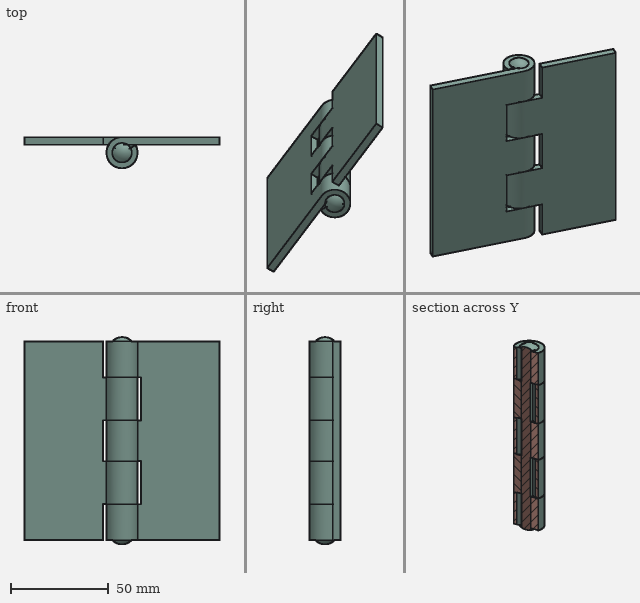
import cadquery as cq
import math

hinge_width = 100.0
leaf_height = 101.6
sheet = 4.0
barrel_radius = 8.0
bore_radius = barrel_radius - sheet
left_reach = hinge_width / 2
right_reach = hinge_width - left_reach

contact_angle = math.degrees(math.asin(bore_radius / barrel_radius))
seam_clearance = 0.5
roll_end_angle = math.radians(contact_angle - seam_clearance)

left_knuckle = 22.0
middle_knuckle = 20.8
end_knuckle = (leaf_height - middle_knuckle - 2 * left_knuckle) / 2
knuckle_heights = [end_knuckle, left_knuckle, middle_knuckle, left_knuckle, end_knuckle]

notch_edge = 9.7

head_radius = 5.0
head_height = 2.3
dome_radius = (head_radius**2 + head_height**2) / (2 * head_height)


def knuckle_spans(first):
    """Bottom and height of every second knuckle, counted from the given one."""
    return [
        (sum(knuckle_heights[:index]) - leaf_height / 2, knuckle_heights[index])
        for index in range(first, len(knuckle_heights), 2)
    ]


def polar(radius, angle):
    return (radius * math.cos(angle), radius * math.sin(angle))


def rolled_strip(bottom, height):
    """Strip from the notch edge to the pin axis, rolled counter-clockwise around the pin."""
    middle_angle = (math.pi / 2 + roll_end_angle + 2 * math.pi) / 2
    return (
        cq.Workplane("XY", origin=(0, 0, bottom))
        .moveTo(notch_edge, barrel_radius)
        .lineTo(0, barrel_radius)
        .threePointArc(polar(barrel_radius, middle_angle), polar(barrel_radius, roll_end_angle))
        .lineTo(*polar(bore_radius, roll_end_angle))
        .threePointArc(polar(bore_radius, middle_angle), (0, bore_radius))
        .lineTo(notch_edge, bore_radius)
        .close()
        .extrude(height)
    )


def make_leaf(reach, first_knuckle):
    """Leaf with its plate on the +X side of the pin."""
    leaf = cq.Workplane("XY").box(
        reach - notch_edge, sheet, leaf_height, centered=(False, False, True)
    ).translate((notch_edge, bore_radius, 0))
    for bottom, height in knuckle_spans(first_knuckle):
        leaf = leaf.union(rolled_strip(bottom, height))
    return leaf


def make_pin():
    """Half profile of the pin in the XZ plane, turned around Z."""
    end = leaf_height / 2
    tip = end + head_height
    dome_center = tip - dome_radius
    half_opening = math.asin(head_radius / dome_radius) / 2
    dome_x = dome_radius * math.sin(half_opening)
    dome_z = dome_center + dome_radius * math.cos(half_opening)
    return (
        cq.Workplane("XZ")
        .moveTo(0, -tip)
        .threePointArc((dome_x, -dome_z), (head_radius, -end))
        .lineTo(bore_radius, -end)
        .lineTo(bore_radius, end)
        .lineTo(head_radius, end)
        .threePointArc((dome_x, dome_z), (0, tip))
        .close()
        .revolve(360, (0, 0, 0), (0, 1, 0))
    )


right_leaf = make_leaf(right_reach, first_knuckle=0)
left_leaf = make_leaf(left_reach, first_knuckle=1).mirror("YZ")
pin = make_pin()

result = cq.Compound.makeCompound([right_leaf.val(), left_leaf.val(), pin.val()])